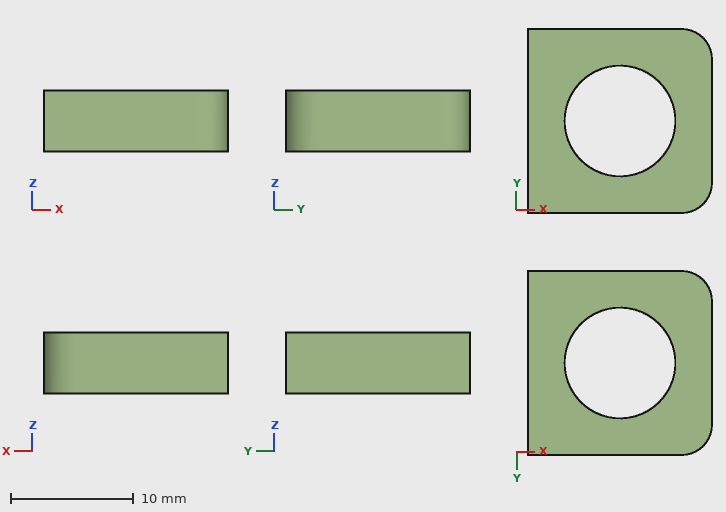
import cadquery as cq

side = 15.0
thickness = side / 3
bore_diameter = 9.0
corner_radius = side / 6

plate = cq.Workplane("XY").box(side, side, thickness, centered=(True, True, False))

rounded_plate = plate.faces(">X").edges("|Z").fillet(corner_radius)

result = rounded_plate.faces(">Z").workplane(origin=(0, 0, thickness)).hole(bore_diameter)